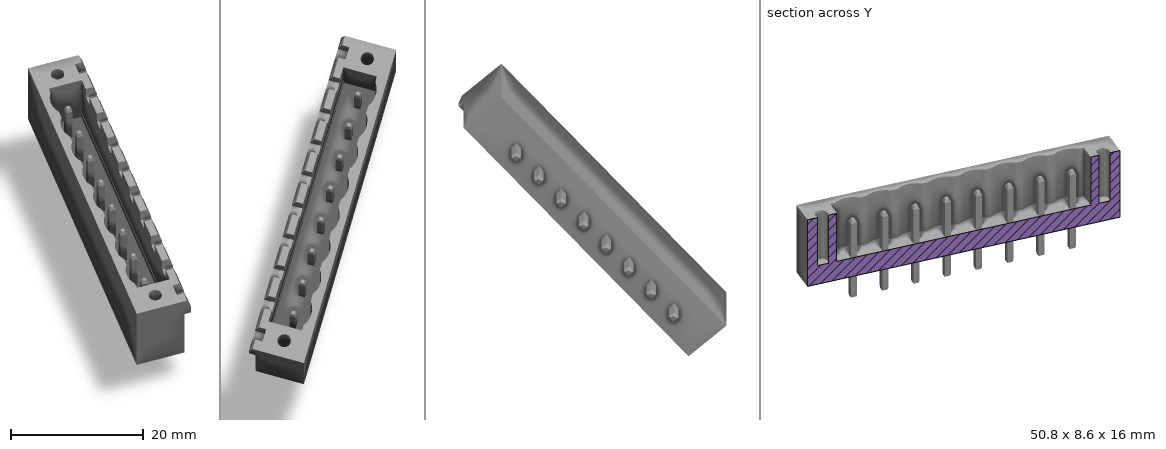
import cadquery as cq

POLES = 8
PITCH = 5.08
FLANGE_POSITIONS = 2
POSITIONS = POLES + FLANGE_POSITIONS
LENGTH = POSITIONS * PITCH

BODY_DEPTH = 7.6
BODY_HEIGHT = 12.0
LIP_OVERHANG = 1.0
LIP_HEIGHT = 3.0
LIP_SLOPE_RUN = 0.6
LIP_SLOPE_DROP = 1.5
LIP_BACK = BODY_DEPTH + LIP_OVERHANG

CAVITY_END_WALL = 4.8
REAR_WALL = 1.7
CAVITY_BACK = LIP_BACK - REAR_WALL
CAVITY_FRONT = 1.65
CAVITY_DEPTH = 8.6
CAVITY_FLOOR = BODY_HEIGHT - CAVITY_DEPTH
LEDGE_WIDTH = 0.1
LEDGE_HEIGHT = 1.0
SCALLOP_DEPTH = 0.63
SCALLOP_WIDTH = 3.9

NOTCH_TOP_WIDTH = 2.0
NOTCH_FLOOR_WIDTH = 1.5
NOTCH_DEPTH = 1.75

SCREW_HOLE_DIAMETER = 2.0
SCREW_HOLE_DEPTH = CAVITY_DEPTH

CONTACT_ROW_Y = BODY_DEPTH / 2
PIN_WIDTH = 1.0
PIN_TIP_WIDTH = 0.5
PIN_TIP_LENGTH = 0.6
PIN_TAIL = 4.0
PIN_RECESS = 2.0


def position_x(index):
    """X of a position, counted from the left flange."""
    return (index - (POSITIONS - 1) / 2) * PITCH


FLANGE_XS = [position_x(0), position_x(POSITIONS - 1)]
POLE_XS = [position_x(i) for i in range(1, POSITIONS - 1)]


def make_housing():
    """Block with an overhanging, sloped latch lip along the rear top edge."""
    section = [
        (0, 0),
        (BODY_DEPTH, 0),
        (BODY_DEPTH, BODY_HEIGHT - LIP_HEIGHT),
        (LIP_BACK, BODY_HEIGHT - LIP_HEIGHT),
        (LIP_BACK, BODY_HEIGHT - LIP_SLOPE_DROP),
        (LIP_BACK - LIP_SLOPE_RUN, BODY_HEIGHT),
        (0, BODY_HEIGHT),
    ]
    return cq.Workplane("YZ").polyline(section).close().extrude(LENGTH / 2, both=True)


def make_cavity():
    """Plug cavity whose front wall is hollowed by one scallop per pole."""
    half_length = LENGTH / 2 - CAVITY_END_WALL
    outline = cq.Workplane("XY", origin=(0, 0, CAVITY_FLOOR))
    outline = outline.moveTo(-half_length, CAVITY_BACK).lineTo(-half_length, CAVITY_FRONT)
    for x in POLE_XS:
        outline = outline.lineTo(x - SCALLOP_WIDTH / 2, CAVITY_FRONT)
        outline = outline.threePointArc(
            (x, CAVITY_FRONT - SCALLOP_DEPTH), (x + SCALLOP_WIDTH / 2, CAVITY_FRONT)
        )
    outline = outline.lineTo(half_length, CAVITY_FRONT).lineTo(half_length, CAVITY_BACK)
    return outline.close().extrude(CAVITY_DEPTH)


def make_ledge():
    """Narrow step where the rear cavity wall meets the cavity floor."""
    cavity_length = LENGTH - 2 * CAVITY_END_WALL
    ledge = cq.Workplane("XY").box(cavity_length, LEDGE_WIDTH, LEDGE_HEIGHT, centered=(True, False, False))
    return ledge.translate((0, CAVITY_BACK - LEDGE_WIDTH, CAVITY_FLOOR))


def make_notch(x):
    """Trapezoidal notch through the thickness of the rear wall, open at the top."""
    floor_z = BODY_HEIGHT - NOTCH_DEPTH
    section = [
        (x - NOTCH_TOP_WIDTH / 2, BODY_HEIGHT),
        (x - NOTCH_FLOOR_WIDTH / 2, floor_z),
        (x + NOTCH_FLOOR_WIDTH / 2, floor_z),
        (x + NOTCH_TOP_WIDTH / 2, BODY_HEIGHT),
    ]
    plane = cq.Workplane("XZ", origin=(0, CAVITY_BACK, 0))
    return plane.polyline(section).close().extrude(-REAR_WALL)


def make_pin(x):
    """Square contact pin with a tapered tip at both ends."""
    bottom = -PIN_TAIL
    top = BODY_HEIGHT - PIN_RECESS
    section = cq.Workplane("XY", origin=(x, CONTACT_ROW_Y, bottom)).rect(PIN_WIDTH, PIN_WIDTH)
    pin = section.extrude(top - bottom)
    bevel = (PIN_WIDTH - PIN_TIP_WIDTH) / 2
    pin = pin.faces(">Z").chamfer(PIN_TIP_LENGTH, bevel)
    return pin.faces("<Z").chamfer(PIN_TIP_LENGTH, bevel)


def make_screw_hole(x):
    """Blind screw hole in a flange."""
    rim = cq.Workplane("XY", origin=(x, CONTACT_ROW_Y, BODY_HEIGHT))
    return rim.circle(SCREW_HOLE_DIAMETER / 2).extrude(-SCREW_HOLE_DEPTH)


result = make_housing().cut(make_cavity()).union(make_ledge())
for index in range(POSITIONS):
    result = result.cut(make_notch(position_x(index)))
for x in POLE_XS:
    result = result.union(make_pin(x))
for x in FLANGE_XS:
    result = result.cut(make_screw_hole(x))